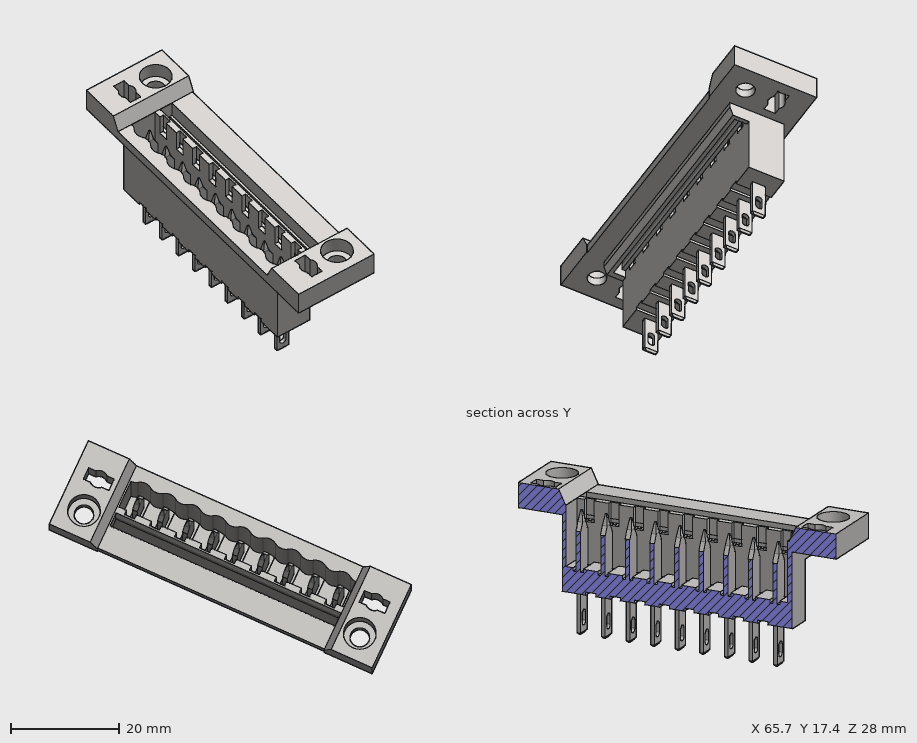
import cadquery as cq

length = 65.65
depth = 17.4
top_z = 28.0

contact_count = 9
row_span = 40.6
row_x = -0.1
contact_y = 5.5

plate_top = 25.1
plate_bottom = 23.05
plate_back = 17.2
ear_top_length = 8.35
ear_foot_length = 9.8

body_width = 47.6
body_x = 0.0
body_front = 1.85
body_back = 9.3
body_bottom = 8.1
notch_width = 2.05
notch_height = 0.6

ledge_bottom = 20.1
ledge_slope_top = 21.85
ledge_back = 13.3
ledge_foot_back = 12.7

scallop_peak_y = 3.15
scallop_dip_y = 2.35
comb_front = 8.5
cavity_floor = 13.1

slot_width = 2.05
slot_floor = 20.8
floor_groove_depth = 0.65

comb_top_back = 9.7
hook_back = 10.1
lip_front = 11.9
bar_front = 12.4

screw_inset = 4.8
screw_y = 12.4
screw_diameter = 3.6
counterbore_diameter = 6.05
counterbore_depth = 3.15

key_length = 5.2
key_width = 2.35
key_bulge_diameter = 3.3
key_y = 5.85

tail_thickness = 0.8
tail_width = 2.75
tail_chamfer = 0.45
tail_tip_thickness = 0.2
eye_width = 1.4
eye_height = 3.0
eye_z = 3.2
blade_thickness = 1.0
blade_front = 3.95
blade_back = 6.9
shoulder_drop = 1.7
tip_front = 4.7
tip_back = 6.0
tip_height = 2.15
tip_top = 24.15
tip_flat = 0.25

pitch = row_span / (contact_count - 1)
contact_x = [row_x + (i - (contact_count - 1) / 2) * pitch for i in range(contact_count)]
cavity_width = contact_count * pitch


def block(x_mid, width, y_min, y_max, z_min, z_max):
    """Axis-aligned box centred on x_mid."""
    size = (width, y_max - y_min, z_max - z_min)
    return cq.Workplane("XY").box(*size, centered=(True, False, False)).translate((x_mid, y_min, z_min))


def side_profile(points, x_mid, width):
    """Extrude a closed outline of (y, z) points along X, centred on x_mid."""
    profile = cq.Workplane("YZ").polyline(points).close()
    return profile.extrude(width / 2, both=True).translate((x_mid, 0, 0))


def make_flange():
    """Plate with a raised, sloped ear at each end."""
    flange = block(0, length - 2 * ear_top_length, 0, plate_back, plate_bottom, plate_top)
    half = length / 2
    ear_points = [
        (half, plate_bottom),
        (half, top_z),
        (half - ear_top_length, top_z),
        (half - ear_foot_length, plate_top),
        (half - ear_foot_length, plate_bottom),
    ]
    ear = cq.Workplane("XZ").polyline(ear_points).close().extrude(-depth)
    return flange.union(ear).union(ear.mirror("YZ"))


def make_housing():
    """Deep body with a shallow ledge behind it and notches in its underside."""
    housing = side_profile(
        [
            (body_front, plate_bottom),
            (body_front, body_bottom),
            (body_back, body_bottom),
            (body_back, ledge_bottom),
            (ledge_foot_back, ledge_bottom),
            (ledge_back, ledge_slope_top),
            (ledge_back, plate_bottom),
        ],
        body_x,
        body_width,
    )
    for x in contact_x[:-1]:
        notch = block(
            x + pitch / 2, notch_width, body_front, body_back, body_bottom, body_bottom + notch_height
        )
        housing = housing.cut(notch)
    return housing


def scalloped_region(z_min, z_max):
    """Block from the scalloped front wall to the comb; one front bulge per contact."""
    middle_y = (scallop_peak_y + scallop_dip_y) / 2
    start_x = contact_x[0] - 0.75 * pitch
    outline = cq.Workplane("XY").workplane(offset=z_min).moveTo(start_x, middle_y)
    for x in contact_x:
        outline = outline.threePointArc((x - pitch / 2, scallop_peak_y), (x - pitch / 4, middle_y))
        outline = outline.threePointArc((x, scallop_dip_y), (x + pitch / 4, middle_y))
    end_x = contact_x[-1] + 0.75 * pitch
    outline = outline.threePointArc((contact_x[-1] + pitch / 2, scallop_peak_y), (end_x, middle_y))
    region = outline.lineTo(end_x, comb_front).lineTo(start_x, comb_front).close().extrude(z_max - z_min)
    return region.intersect(block(row_x, cavity_width, 0, depth, z_min, z_max))


def make_plug_cavity():
    """Open cavity, with a shallow groove in its floor at every contact."""
    cavity = scalloped_region(cavity_floor, plate_top)
    groove_bottom = cavity_floor - floor_groove_depth
    groove_area = scalloped_region(groove_bottom, cavity_floor)
    for x in contact_x:
        groove = block(x, slot_width, 0, depth, groove_bottom, cavity_floor)
        cavity = cavity.union(groove.intersect(groove_area))
    return cavity


def make_latch_opening():
    """Opening behind the comb: a hook on the comb side and a lip on the ledge side."""
    return side_profile(
        [
            (comb_top_back, plate_top),
            (hook_back, plate_bottom),
            (hook_back, ledge_slope_top),
            (body_back, ledge_slope_top),
            (body_back, ledge_bottom),
            (lip_front, ledge_bottom),
            (lip_front, ledge_slope_top),
            (bar_front, ledge_slope_top),
            (bar_front, plate_top),
        ],
        row_x,
        cavity_width,
    )


def make_mounting_cut(x):
    """Counterbored screw hole and keyhole slot through one ear."""
    thickness = top_z - plate_bottom
    ear_plane = cq.Workplane("XY").workplane(offset=plate_bottom)
    screw = ear_plane.center(x, screw_y).circle(screw_diameter / 2).extrude(thickness)
    counterbore = (
        cq.Workplane("XY")
        .workplane(offset=top_z - counterbore_depth)
        .center(x, screw_y)
        .circle(counterbore_diameter / 2)
        .extrude(counterbore_depth)
    )
    key = ear_plane.center(x, key_y).rect(key_length, key_width).extrude(thickness)
    bulge = ear_plane.center(x, key_y).circle(key_bulge_diameter / 2).extrude(thickness)
    return screw.union(counterbore).union(key).union(bulge)


def make_contact(x):
    """Flat solder tail with an eye, joined to a shouldered blade with a pyramid tip."""
    tail_front = contact_y - tail_width / 2
    tail = block(x, tail_thickness, tail_front, tail_front + tail_width, tail_chamfer, cavity_floor)
    tail_end = (
        cq.Workplane("XY")
        .center(x, contact_y)
        .rect(tail_tip_thickness, tail_width - 2 * tail_chamfer)
        .workplane(offset=tail_chamfer)
        .rect(tail_thickness, tail_width)
        .loft(ruled=True)
    )
    eye = (
        cq.Workplane("YZ")
        .center(contact_y, eye_z)
        .slot2D(eye_height, eye_width, 90)
        .extrude(tail_thickness, both=True)
        .translate((x, 0, 0))
    )
    tip_base = tip_top - tip_height
    shoulder_z = tip_base - shoulder_drop
    blade_bottom = cavity_floor - floor_groove_depth
    blade = side_profile(
        [
            (blade_front, blade_bottom),
            (blade_back, blade_bottom),
            (blade_back, shoulder_z),
            (tip_back, tip_base),
            (tip_front, tip_base),
            (blade_front, shoulder_z),
        ],
        x,
        blade_thickness,
    )
    tip = (
        cq.Workplane("XY")
        .workplane(offset=tip_base)
        .center(x, (tip_front + tip_back) / 2)
        .rect(blade_thickness, tip_back - tip_front)
        .workplane(offset=tip_height)
        .rect(tip_flat, tip_flat)
        .loft(ruled=True)
    )
    return tail.union(tail_end).cut(eye).union(blade).union(tip)


def make_comb_slots():
    """Slots across the comb, closed at the back only by the hook."""
    slots = cq.Workplane("XY")
    for x in contact_x:
        slots = slots.add(block(x, slot_width, comb_front, body_back, slot_floor, plate_top))
    return slots.combine()


result = make_flange().union(make_housing())
result = result.cut(make_plug_cavity()).cut(make_latch_opening()).cut(make_comb_slots())
for side in (-1, 1):
    result = result.cut(make_mounting_cut(side * (length / 2 - screw_inset)))
for x in contact_x:
    result = result.union(make_contact(x))